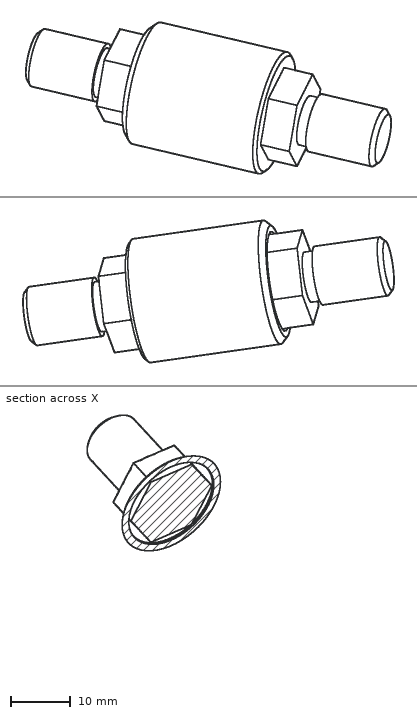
import cadquery as cq

total_length = 62.0
stud_diameter = 10.0
stud_length = 12.0
stud_chamfer = 0.8
neck_diameter = 8.5
neck_length = 1.85
hex_across_flats = 14.0
hex_length = 5.1
body_diameter = 21.0
front_chamfer = 1.05
rear_chamfer = 0.55
recess_diameter = 16.8
recess_depth = 0.8

neck_start = stud_length
hex_start = neck_start + neck_length
body_start = hex_start + hex_length
body_length = total_length - 2 * body_start
hex_corner_diameter = 2 * hex_across_flats / 3**0.5


def cylinder(x_start, length, diameter):
    return cq.Workplane("YZ", origin=(x_start, 0, 0)).circle(diameter / 2).extrude(length)


def hexagon(x_start, length):
    """Hexagonal prism along X with corners on the Y axis and flats facing +Z and -Z."""
    return cq.Workplane("YZ", origin=(x_start, 0, 0)).polygon(6, hex_corner_diameter).extrude(length)


def fitting():
    """Chamfered stud, undercut neck and hexagon at the -X end, reaching the recess floor."""
    stud = cylinder(0, stud_length, stud_diameter).faces("<X").chamfer(stud_chamfer)
    neck = cylinder(neck_start, neck_length, neck_diameter)
    wrench_hex = hexagon(hex_start, hex_length + recess_depth)
    return stud.union(neck).union(wrench_hex)


def body():
    """Central barrel with a round recess in its -X face."""
    barrel = cylinder(body_start, body_length, body_diameter)
    barrel = barrel.faces("<X").chamfer(front_chamfer)
    barrel = barrel.faces(">X").chamfer(rear_chamfer)
    return barrel.cut(cylinder(body_start, recess_depth, recess_diameter))


front_fitting = fitting()
rear_fitting = front_fitting.mirror("YZ", (total_length / 2, 0, 0))
result = body().union(front_fitting).union(rear_fitting)